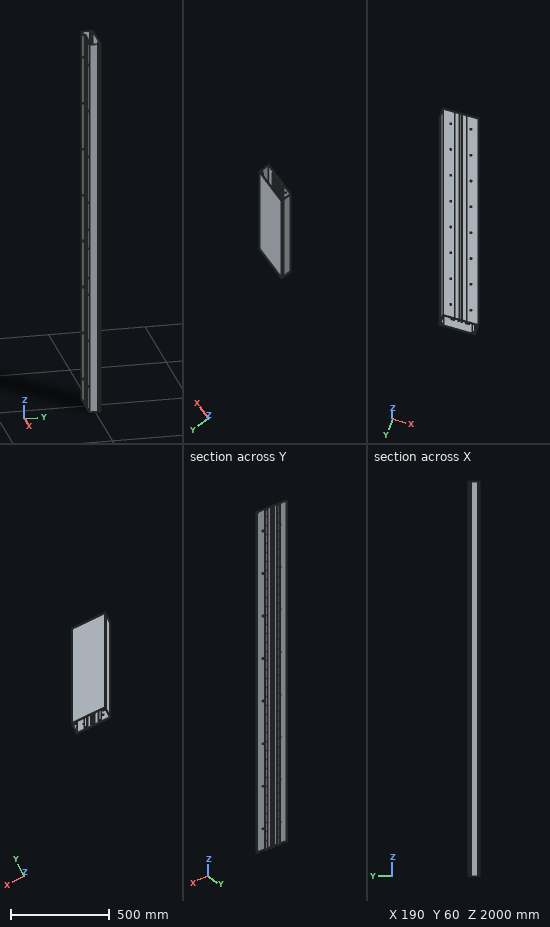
import cadquery as cq

width = 190.0
depth = 60.0
length = 2000.0

base_wall = 2.5
cover_wall = 2.5

skirt_depth = 12.5
rim_lip_reach = 19.0
rim_lip_depth = 10.0

rail_wall = 2.0
rail_height = 11.0
outer_rail_start = 31.0
outer_rail_end = 48.0
inner_rail_start = 5.5
inner_rail_end = 10.0

hole_diameter = 6.0
hole_spacing = 108.0
hole_pitch = 250.0
hole_rows = int(length / hole_pitch)

side_outside = width / 2
side_inside = side_outside - base_wall
rim_outside = side_outside - cover_wall
rim_inside = rim_outside - base_wall
lip_edge = side_outside - rim_lip_reach

floor_outside = -depth / 2
floor_inside = floor_outside + base_wall
rail_top = floor_outside + rail_height
cover_outside = depth / 2
cover_inside = cover_outside - cover_wall
skirt_edge = cover_outside - skirt_depth
lip_top = cover_outside - rim_lip_depth


def extrude_profile(points):
    """Closed outline in XY, extruded over the full length and centred on Z = 0."""
    return cq.Workplane("XY").polyline(points).close().extrude(length / 2, both=True)


def mirrored_pair(profile):
    """Adds the copy of a profile on the other side of the middle plane."""
    return profile.union(profile.mirror("YZ"))


def make_channel():
    """Floor and side walls; each wall steps inward under the skirt and ends in an inward lip."""
    half = [
        (0, floor_outside),
        (side_outside, floor_outside),
        (side_outside, skirt_edge),
        (rim_outside, skirt_edge),
        (rim_outside, lip_top),
        (lip_edge, lip_top),
        (lip_edge, lip_top - base_wall),
        (rim_inside, lip_top - base_wall),
        (rim_inside, skirt_edge - base_wall),
        (side_inside, skirt_edge - base_wall),
        (side_inside, floor_inside),
        (0, floor_inside),
    ]
    return mirrored_pair(extrude_profile(half))


def make_rails(start, end):
    """Pair of L-shaped rails with their lips pointing away from the middle plane."""
    rail = [
        (start, floor_inside),
        (start + rail_wall, floor_inside),
        (start + rail_wall, rail_top - rail_wall),
        (end, rail_top - rail_wall),
        (end, rail_top),
        (start, rail_top),
    ]
    return mirrored_pair(extrude_profile(rail))


def make_fixing_holes():
    """Two columns of round holes through the floor."""
    return (
        cq.Workplane("XZ", origin=(0, floor_inside, 0))
        .rarray(hole_spacing, hole_pitch, 2, hole_rows)
        .circle(hole_diameter / 2)
        .extrude(base_wall)
    )


def make_base():
    base = make_channel()
    for start, end in ((inner_rail_start, inner_rail_end), (outer_rail_start, outer_rail_end)):
        base = base.union(make_rails(start, end))
    return base.cut(make_fixing_holes())


def make_cover():
    """Flat lid with a skirt along each side."""
    half = [
        (0, cover_outside),
        (side_outside, cover_outside),
        (side_outside, skirt_edge),
        (rim_outside, skirt_edge),
        (rim_outside, cover_inside),
        (0, cover_inside),
    ]
    return mirrored_pair(extrude_profile(half))


base = make_base()
cover = make_cover()
result = cq.Compound.makeCompound([base.solids().val(), cover.solids().val()])